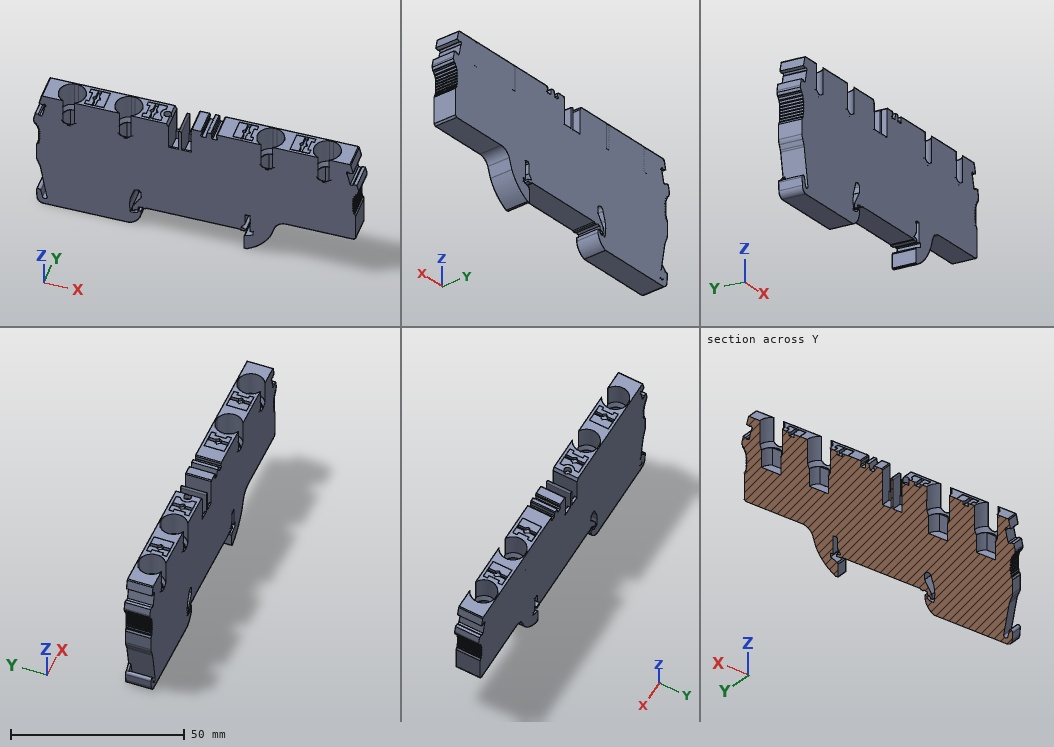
import cadquery as cq
import math

LENGTH = 98.6
THICKNESS = 8.0
HEIGHT = 42.9
HALF = LENGTH / 2

RAIL_Z = 7.2
RIGHT_UNDERSIDE_Z = 13.3

CHAMFER = 0.3
GAP_LEFT = -8.4
GAP_RIGHT = -1.5
GAP_FLOOR_Z = 33.7
GAP_LEAD_IN = 0.6
GAP_LEAD_IN_HEIGHT = 1.1
RIB_LEFT = -5.3
RIB_WIDTH = 0.9
RIB_TOP_Z = 40.9
GAP_POCKET_FRONT = 0.5
GAP_POCKET_BACK = 7.1
GAP_POCKET_DEPTH = 3
GROOVE_FLOOR_Z = 40.8

GRIP_INSET = 1.6
GRIP_ARC_RADIUS = 5.0
GRIP_TOP_Z = 31.6
GRIP_STRAIGHT_TOP_Z = 28.2
GRIP_STRAIGHT_BOTTOM_Z = 25.35
GRIP_BOTTOM_Z = 22.8
SERRATION_TOP_Z = 31.2
SERRATION_PITCH = 0.94
SERRATION_COUNT = 9
SERRATION_SIZE = 0.3

WEB_THICKNESS = 0.8

WELL_OFFSETS = (21.5, 38.7)
WELL_Y = 3.65
WELL_RADIUS = 4.0
WELL_FLAT_HALF_WIDTH = 0.6
WELL_CONE_TOP_Z = 34.7
WELL_CONE_BOTTOM_Z = 33.1
BORE_RADIUS = 3.4
BORE_Y = 3.8
BORE_WIDTH = 5.9
BORE_DEPTH = 5.9

INSERT_OFFSETS = (13.8, 31.2)
INSERT_LENGTH = 5.8
INSERT_FRONT = 0.9
INSERT_BACK = 7.1
INSERT_RECESS = 0.1
INSERT_NOTCH_DEPTH = 0.9
INSERT_NOTCH_WIDTH = 3.5
SLOT_SHIFT = 0.2
SLOT_WIDTH = 1
SLOT_DEPTH = 1.2
EYE_LENGTH = 2.4
EYE_WIDTH = 3

MARKER_HOLE_X = -9.9
MARKER_HOLE_DIAMETER = 2.2
MARKER_HOLE_DEPTH = 2
MARKER_HOLE_LAND_RADIUS = 2.1


def at_left(inset, z):
    """Point measured inward from the left end."""
    return (inset - HALF, z)


def at_right(inset, z):
    """Point measured inward from the right end."""
    return (HALF - inset, z)


def box(x0, x1, y0, y1, z0, z1):
    return cq.Workplane("XY").box(x1 - x0, y1 - y0, z1 - z0, centered=False).translate((x0, y0, z0))


def extrude_back(outline):
    """Extrude an XZ outline from the front face to the back face."""
    return outline.close().extrude(-THICKNESS)


def grip_inset(z):
    """Depth of the finger grip surface at height z."""
    past_straight = max(z - GRIP_STRAIGHT_TOP_Z, GRIP_STRAIGHT_BOTTOM_Z - z, 0)
    return GRIP_INSET - GRIP_ARC_RADIUS + math.sqrt(GRIP_ARC_RADIUS**2 - past_straight**2)


def grip_point(place, z):
    return place(grip_inset(z), z)


END_LIP = [
    (2.7, HEIGHT), (2.4, HEIGHT - CHAMFER), (1.7, 39.8), (2.8, 39.4), (3.4, 39.7), (3.7, 39.1),
    (3.5, 38.8), (2.6, 34.9), (1.9, 34.8), (1.5, 35.2), (0.5, 35.2), (0, 33.0), (0, 32.5),
]
UPPER_ARC_MIDDLE_Z = (GRIP_TOP_Z + GRIP_STRAIGHT_TOP_Z) / 2
LOWER_ARC_MIDDLE_Z = (GRIP_STRAIGHT_BOTTOM_Z + GRIP_BOTTOM_Z) / 2


def housing():
    outline = (
        cq.Workplane("XZ")
        .polyline([at_left(*p) for p in END_LIP])
        .lineTo(*grip_point(at_left, GRIP_TOP_Z))
        .threePointArc(grip_point(at_left, UPPER_ARC_MIDDLE_Z), grip_point(at_left, GRIP_STRAIGHT_TOP_Z))
        .lineTo(*grip_point(at_left, GRIP_STRAIGHT_BOTTOM_Z))
        .threePointArc(grip_point(at_left, LOWER_ARC_MIDDLE_Z), grip_point(at_left, GRIP_BOTTOM_Z))
    )
    outline = (
        outline.lineTo(*at_left(0.9, 18.1))
        .threePointArc(at_left(1, 17.3), at_left(1.3, 16.6))
        .lineTo(*at_left(1.9, 15.1))
        .lineTo(*at_left(2.1, 14.5))
        .lineTo(*at_left(4.1, 2.8))
        .threePointArc(at_left(3.65, 2.1), at_left(2.8, 2.8))
        .lineTo(*at_left(2.3, 4.9))
        .threePointArc(at_left(1.6, 5.4), at_left(0.9, 4.6))
        .lineTo(*at_left(1.1, 2.1))
        .threePointArc(at_left(1.6, 0.8), at_left(2.9, 0))
        .lineTo(*at_left(29.2, 0))
        .threePointArc(at_left(31.5, 1.7), at_left(32.65, 4.4))
    )
    outline = (
        outline.lineTo(*at_left(32.65, 5.6))
        .lineTo(*at_left(31.9, 5.6))
        .threePointArc(at_left(31.5, 4.8), at_left(30.7, 4.4))
        .lineTo(*at_left(29.4, 4.4))
        .lineTo(*at_left(29.1, 7.3))
        .lineTo(*at_left(29.4, 9.8))
        .lineTo(*at_left(30.4, 12.6))
        .threePointArc(at_left(31.7, 13.7), at_left(32.65, 12.8))
        .lineTo(*at_left(32.65, 10.9))
        .lineTo(*at_left(30.1, 6.9))
        .lineTo(*at_left(29.9, 5.1))
        .lineTo(*at_left(30.6, 5.1))
        .lineTo(*at_left(30.8, 5.6))
        .lineTo(*at_left(31.6, 5.7))
        .lineTo(*at_left(31.9, 6.9))
        .lineTo(*at_left(32.8, RAIL_Z))
        .lineTo(*at_left(33.2, 6.9))
        .lineTo(*at_left(34.0, 6.9))
        .lineTo(*at_left(34.3, RAIL_Z))
    )
    outline = (
        outline.lineTo(*at_right(35.8, RAIL_Z))
        .lineTo(*at_right(35.8, 6.9))
        .lineTo(*at_right(34.1, 6.9))
        .lineTo(*at_right(34.1, 7.6))
        .lineTo(*at_right(35.6, 8.1))
        .lineTo(*at_right(34.5, 9.7))
        .lineTo(*at_right(34.5, 13.0))
        .lineTo(*at_right(34.1, 13.4))
        .lineTo(*at_right(32.9, 13.4))
        .lineTo(*at_right(32.9, RAIL_Z))
        .lineTo(*at_right(32.1, RAIL_Z))
        .lineTo(*at_right(32.1, 6.0))
        .lineTo(*at_right(34.5, 5.0))
        .lineTo(*at_right(34.8, 4.5))
        .lineTo(*at_right(34.8, 0.2))
        .lineTo(*at_right(34.6, 0))
        .lineTo(*at_right(33.8, 0))
        .threePointArc(at_right(29.3, 3.5), at_right(26.6, 7.4))
        .lineTo(*at_right(25.4, 10.85))
        .threePointArc(at_right(24.2, 12.5), at_right(21.8, RIGHT_UNDERSIDE_Z))
        .lineTo(*at_right(1.5, RIGHT_UNDERSIDE_Z))
        .lineTo(*at_right(0.9, 13.9))
    )
    outline = (
        outline.lineTo(*grip_point(at_right, GRIP_BOTTOM_Z))
        .threePointArc(grip_point(at_right, LOWER_ARC_MIDDLE_Z), grip_point(at_right, GRIP_STRAIGHT_BOTTOM_Z))
        .lineTo(*grip_point(at_right, GRIP_STRAIGHT_TOP_Z))
        .threePointArc(grip_point(at_right, UPPER_ARC_MIDDLE_Z), grip_point(at_right, GRIP_TOP_Z))
    )
    for point in reversed(END_LIP):
        outline = outline.lineTo(*at_right(*point))
    return extrude_back(outline)


def foot_web():
    """Thin web closing the left foot slot at the back face."""
    corners = [(1.6, 5.3), (3.3, 7.0), (4.3, 2.8), (3.65, 1.9), (2.6, 2.8)]
    web = cq.Workplane("XZ").polyline([at_left(*p) for p in corners]).close().extrude(-WEB_THICKNESS)
    return web.translate((0, THICKNESS - WEB_THICKNESS, 0))


def serrations():
    """V grooves across the finger grips."""
    grooves = cq.Workplane("XY")
    for place in (at_left, at_right):
        for i in range(SERRATION_COUNT):
            z = SERRATION_TOP_Z - i * SERRATION_PITCH
            mouth = grip_inset(z) - SERRATION_SIZE
            corners = [
                place(mouth, z + SERRATION_SIZE),
                place(grip_inset(z) + SERRATION_SIZE, z),
                place(mouth, z - SERRATION_SIZE),
            ]
            grooves = grooves.add(extrude_back(cq.Workplane("XZ").polyline(corners)))
    return grooves.combine()


def bridge_gap():
    """Wide gap in the top edge, with a deeper pocket between its thin side walls."""
    gap = extrude_back(cq.Workplane("XZ").polyline([
        (GAP_LEFT, GAP_FLOOR_Z),
        (GAP_LEFT, HEIGHT - GAP_LEAD_IN_HEIGHT),
        (GAP_LEFT - GAP_LEAD_IN, HEIGHT),
        (GAP_RIGHT + CHAMFER, HEIGHT),
        (GAP_RIGHT, HEIGHT - CHAMFER),
        (GAP_RIGHT, GAP_FLOOR_Z),
    ]))
    pocket = box(
        GAP_LEFT, GAP_RIGHT, GAP_POCKET_FRONT, GAP_POCKET_BACK,
        GAP_FLOOR_Z - GAP_POCKET_DEPTH, GAP_FLOOR_Z,
    )
    return gap.union(pocket)


def gap_rib():
    """Upright rib dividing the gap, with a rounded tip."""
    rib = box(
        RIB_LEFT, RIB_LEFT + RIB_WIDTH, 0, THICKNESS,
        GAP_FLOOR_Z - GAP_POCKET_DEPTH, RIB_TOP_Z,
    )
    return rib.edges("|Y and >Z").fillet(CHAMFER)


def marker_grooves():
    """Two narrow grooves across the top edge to the right of the gap."""
    first = [
        (1.5, HEIGHT), (1.8, HEIGHT - CHAMFER), (1.8, 41.8), (1.4, 41.2), (1.8, GROOVE_FLOOR_Z),
        (3, GROOVE_FLOOR_Z), (3.4, HEIGHT),
    ]
    second = [
        (4.4, HEIGHT), (4.7, HEIGHT - CHAMFER), (4.7, 41.1), (5.0, GROOVE_FLOOR_Z),
        (6.2, GROOVE_FLOOR_Z), (6.5, 41.2), (6.2, 41.6), (6.2, HEIGHT - CHAMFER), (6.5, HEIGHT),
    ]
    grooves = [extrude_back(cq.Workplane("XZ").polyline(outline)) for outline in (first, second)]
    return grooves[0].union(grooves[1])


def wire_well(x):
    """Round well that breaks out through the front face and funnels into a flat-sided bore."""
    funnel = (
        cq.Workplane("XZ")
        .moveTo(0, WELL_CONE_BOTTOM_Z)
        .lineTo(BORE_RADIUS, WELL_CONE_BOTTOM_Z)
        .lineTo(WELL_RADIUS, WELL_CONE_TOP_Z)
        .lineTo(WELL_RADIUS, HEIGHT)
        .lineTo(0, HEIGHT)
        .close()
        .revolve(360, (0, 0), (0, 1))
        .translate((x, WELL_Y, 0))
    )
    flat_y = WELL_Y + math.sqrt(WELL_RADIUS**2 - WELL_FLAT_HALF_WIDTH**2)
    funnel = funnel.cut(box(x - WELL_RADIUS, x + WELL_RADIUS, flat_y, THICKNESS, WELL_CONE_BOTTOM_Z, HEIGHT))
    bore_bottom_z = WELL_CONE_BOTTOM_Z - BORE_DEPTH
    bore = cq.Workplane("XY").circle(BORE_RADIUS).extrude(BORE_DEPTH)
    bore = bore.intersect(cq.Workplane("XY").rect(2 * BORE_RADIUS, BORE_WIDTH).extrude(BORE_DEPTH))
    return funnel.union(bore.translate((x, BORE_Y, bore_bottom_z)))


def clamp_insert(x, notch_side):
    """Shallow recess with a notch toward the well, clear of the marker hole, plus a driver slot and its eye.

    notch_side is -1 or 1: the X direction in which the neighbouring well lies.
    """
    half = INSERT_LENGTH / 2
    middle_y = (INSERT_FRONT + INSERT_BACK) / 2
    recess_z = HEIGHT - INSERT_RECESS
    recess = box(x - half, x + half, INSERT_FRONT, INSERT_BACK, recess_z, HEIGHT)
    notch_x = x + notch_side * (half - INSERT_NOTCH_DEPTH / 2)
    notch = (
        cq.Workplane("XY", origin=(notch_x, middle_y, recess_z))
        .rect(INSERT_NOTCH_DEPTH, INSERT_NOTCH_WIDTH)
        .extrude(INSERT_RECESS)
    )
    slot_x = x + notch_side * SLOT_SHIFT
    slot_plane = cq.Workplane("XY", origin=(slot_x, middle_y, HEIGHT - SLOT_DEPTH))
    slot = slot_plane.rect(SLOT_WIDTH, INSERT_BACK - INSERT_FRONT).extrude(SLOT_DEPTH)
    eye = slot_plane.polyline([
        (-EYE_LENGTH / 2, 0), (0, EYE_WIDTH / 2), (EYE_LENGTH / 2, 0), (0, -EYE_WIDTH / 2),
    ]).close().extrude(SLOT_DEPTH)
    marker_land = (
        cq.Workplane("XY", origin=(MARKER_HOLE_X, THICKNESS / 2, recess_z))
        .circle(MARKER_HOLE_LAND_RADIUS)
        .extrude(INSERT_RECESS)
    )
    return recess.cut(notch).cut(marker_land).union(slot).union(eye)


def marker_hole():
    return (
        cq.Workplane("XY", origin=(MARKER_HOLE_X, THICKNESS / 2, HEIGHT - MARKER_HOLE_DEPTH))
        .circle(MARKER_HOLE_DIAMETER / 2)
        .extrude(MARKER_HOLE_DEPTH)
    )


result = housing().union(foot_web()).cut(serrations())
result = result.cut(bridge_gap()).union(gap_rib()).cut(marker_grooves()).cut(marker_hole())
for side in (-1, 1):
    for offset in WELL_OFFSETS:
        result = result.cut(wire_well(side * offset))
    for offset in INSERT_OFFSETS:
        result = result.cut(clamp_insert(side * offset, side))